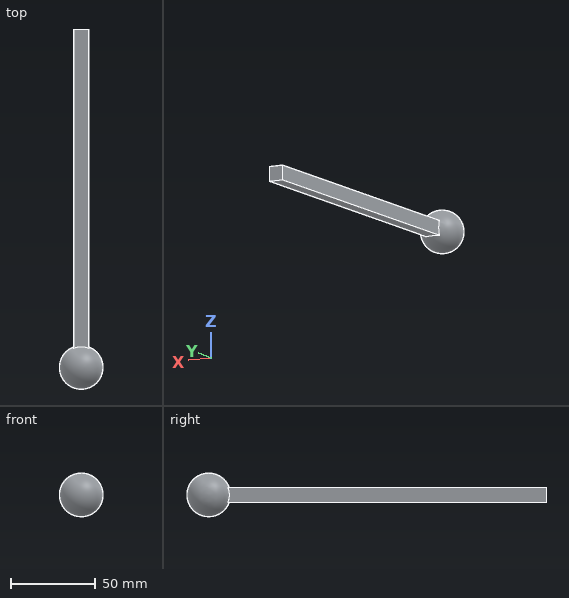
import cadquery as cq

ball_diameter = 26.0
bar_width = 9.0
bar_reach = 200.0


def make_ball():
    return cq.Workplane("XY").sphere(ball_diameter / 2)


def make_bar():
    return cq.Workplane("XY").box(bar_width, bar_reach, bar_width, centered=(True, False, True))


result = make_ball().union(make_bar())